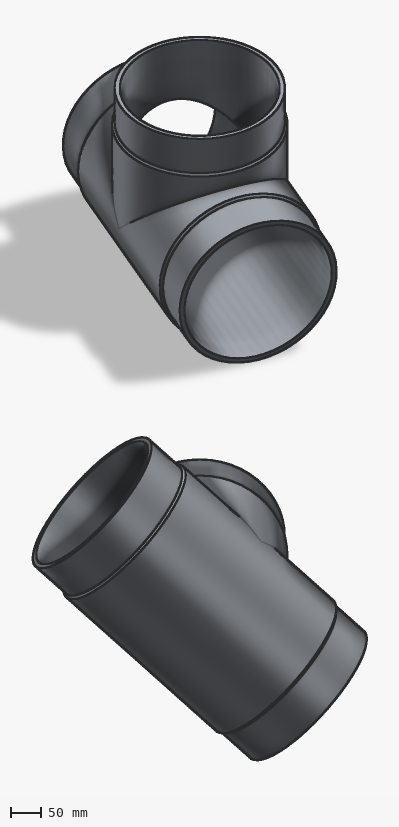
import cadquery as cq

run_length = 495.0
branch_height = 248.0
bore_diameter = 263.0
spigot_diameter = 280.0
body_diameter = 288.5
spigot_length = 70.5
shoulder_chamfer = (body_diameter - spigot_diameter) / 2

half_run = run_length / 2


def stepped_pipe(reach):
    """Solid along +Z from the origin: body, chamfered shoulder, then spigot."""
    body_end = reach - spigot_length
    spigot = cq.Workplane("XY").circle(spigot_diameter / 2).extrude(reach)
    body = (
        cq.Workplane("XY")
        .circle(body_diameter / 2)
        .extrude(body_end)
        .faces(">Z")
        .chamfer(shoulder_chamfer)
    )
    return body.union(spigot)


def along_x(solid, direction):
    """Turn a solid built along +Z so that it points along +X or -X."""
    return solid.rotate((0, 0, 0), (0, 1, 0), 90 * direction)


outside = stepped_pipe(branch_height)
for direction in (-1, 1):
    outside = outside.union(along_x(stepped_pipe(half_run), direction))

run_bore = cq.Workplane("YZ").circle(bore_diameter / 2).extrude(half_run, both=True)
branch_bore = cq.Workplane("XY").circle(bore_diameter / 2).extrude(branch_height)

result = outside.cut(run_bore).cut(branch_bore)